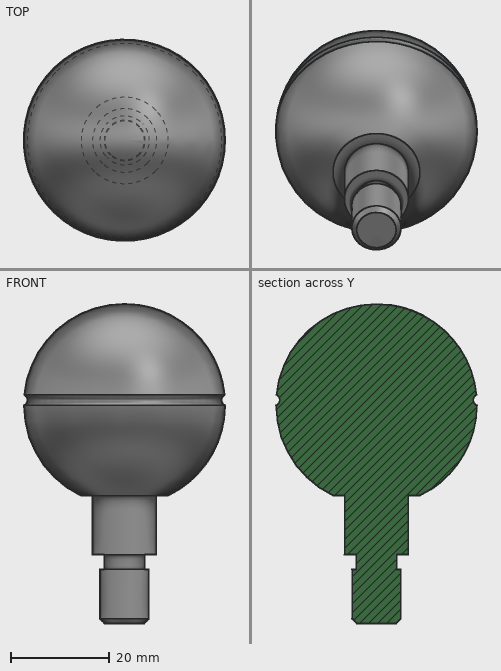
import cadquery as cq
import math

total_height = 65.0
ball_diameter = 41.0

thread_diameter = 10.0
tip_chamfer = 1.0
thread_length = 11.0
neck_diameter = 8.3
neck_length = 3.0
collar_diameter = 13.0
collar_length = 12.0

groove_width = 2.15
groove_drop = 0.15
groove_depth = 0.75

ball_radius = ball_diameter / 2
ball_center_z = total_height - ball_radius
neck_bottom_z = thread_length
collar_bottom_z = neck_bottom_z + neck_length
ball_bottom_z = collar_bottom_z + collar_length


def ball_radius_at(z):
    """Radius of the ball's horizontal section at height z."""
    return math.sqrt(ball_radius**2 - (z - ball_center_z) ** 2)


def cylinder(diameter, bottom_z, length):
    """Upright cylinder on the Z axis."""
    return cq.Workplane("XY").workplane(offset=bottom_z).circle(diameter / 2).extrude(length)


def make_ball():
    """Ball with a flat underside and a round-bottomed groove, revolved about Z."""
    groove_bottom_z = ball_center_z - groove_drop
    groove_top_z = groove_bottom_z + groove_width
    groove_middle_z = (groove_bottom_z + groove_top_z) / 2
    groove_floor_radius = ball_radius - groove_depth
    diagonal = ball_radius * math.sqrt(0.5)
    lower_middle_z = (ball_bottom_z + groove_bottom_z) / 2

    profile = (
        cq.Workplane("XZ")
        .moveTo(0, ball_bottom_z)
        .lineTo(ball_radius_at(ball_bottom_z), ball_bottom_z)
        .threePointArc(
            (ball_radius_at(lower_middle_z), lower_middle_z),
            (ball_radius_at(groove_bottom_z), groove_bottom_z),
        )
        .threePointArc(
            (groove_floor_radius, groove_middle_z),
            (ball_radius_at(groove_top_z), groove_top_z),
        )
        .threePointArc((diagonal, ball_center_z + diagonal), (0, total_height))
        .close()
    )
    return profile.revolve(360, (0, 0, 0), (0, 1, 0))


def make_stem():
    """Stepped stem: chamfered thread end, relief neck and collar under the ball."""
    thread = cylinder(thread_diameter, 0, thread_length).faces("<Z").chamfer(tip_chamfer)
    neck = cylinder(neck_diameter, neck_bottom_z, neck_length)
    collar = cylinder(collar_diameter, collar_bottom_z, collar_length)
    return thread.union(neck).union(collar)


result = make_ball().union(make_stem())